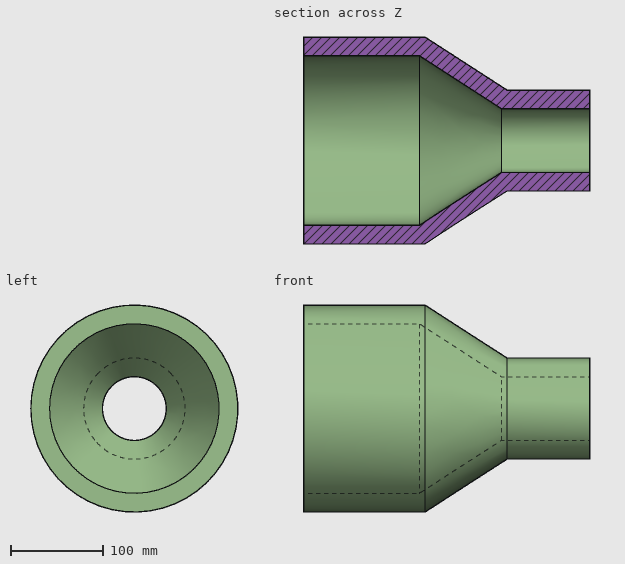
import math

import cadquery as cq

large_outer_diameter = 225.0
small_outer_diameter = 110.0
wall_thickness = 20.5

total_length = 311.0
large_spigot_length = 132.0
small_spigot_length = 90.0

large_outer_radius = large_outer_diameter / 2
small_outer_radius = small_outer_diameter / 2
cone_start_x = large_spigot_length
cone_end_x = total_length - small_spigot_length

cone_half_angle = math.atan2(large_outer_radius - small_outer_radius, cone_end_x - cone_start_x)
bore_cone_shift = wall_thickness * math.tan(cone_half_angle / 2)


def stepped_cone(large_radius, small_radius, start_x, end_x):
    """Solid about the X axis: large cylinder, cone from start_x to end_x, small cylinder."""
    return (
        cq.Workplane("XY")
        .moveTo(0, 0)
        .lineTo(0, large_radius)
        .lineTo(start_x, large_radius)
        .lineTo(end_x, small_radius)
        .lineTo(total_length, small_radius)
        .lineTo(total_length, 0)
        .close()
        .revolve(360, (0, 0, 0), (1, 0, 0))
    )


outer_body = stepped_cone(
    large_outer_radius,
    small_outer_radius,
    cone_start_x,
    cone_end_x,
)
bore = stepped_cone(
    large_outer_radius - wall_thickness,
    small_outer_radius - wall_thickness,
    cone_start_x - bore_cone_shift,
    cone_end_x - bore_cone_shift,
)

result = outer_body.cut(bore)